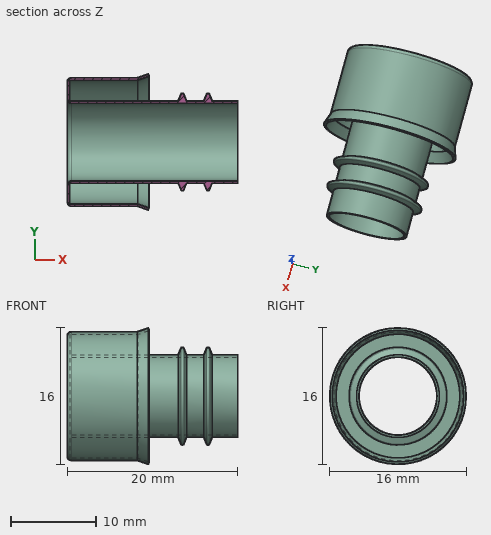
import cadquery as cq
import math

length = 20.0
wall = 0.3
bend_radius = 0.5

tube_radius = 9.7 / 2
bore_radius = tube_radius - wall

sleeve_radius = 15.1 / 2
sleeve_bore_radius = sleeve_radius - wall
lip_radius = 16.0 / 2
lip_start = 8.2
lip_angle = math.radians(19)

barb_centers = (13.5, 16.5)
barb_width = 1.0
barb_crest_radius = 0.2
barb_flank_angle = math.radians(22.5)


def revolve_about_x(profile):
    return profile.close().revolve(360, (0, 0, 0), (1, 0, 0))


def bend_middle(center_x, center_r, r_direction):
    """Middle point of a quarter bend that faces the front."""
    offset = bend_radius * math.sqrt(0.5)
    return (center_x - offset, center_r + r_direction * offset)


def make_shell():
    """Tube, front wall and flared sleeve as one bent sheet."""
    lip_tip_x = lip_start + (lip_radius - sleeve_radius) / math.tan(lip_angle)
    rim_inner_x = lip_tip_x + wall * math.sin(lip_angle)
    rim_inner_radius = lip_radius - wall * math.cos(lip_angle)
    inner_lip_start = lip_start + wall * math.tan(lip_angle / 2)
    mouth_radius = bore_radius + bend_radius
    face_radius = sleeve_radius - bend_radius
    profile = (
        cq.Workplane("XY")
        .moveTo(length, bore_radius)
        .lineTo(bend_radius, bore_radius)
        .threePointArc(bend_middle(bend_radius, mouth_radius, -1), (0, mouth_radius))
        .lineTo(0, face_radius)
        .threePointArc(bend_middle(bend_radius, face_radius, 1), (bend_radius, sleeve_radius))
        .lineTo(lip_start, sleeve_radius)
        .lineTo(lip_tip_x, lip_radius)
        .lineTo(rim_inner_x, rim_inner_radius)
        .lineTo(inner_lip_start, sleeve_bore_radius)
        .lineTo(wall, sleeve_bore_radius)
        .lineTo(wall, tube_radius)
        .lineTo(length, tube_radius)
    )
    return revolve_about_x(profile)


def make_barb(center_x):
    """Ring with sloped flanks, tangent to a round crest."""
    half_width = barb_width / 2
    root_radius = tube_radius - wall / 2
    tangent_x = barb_crest_radius * math.cos(barb_flank_angle)
    tangent_radius = tube_radius + (half_width - tangent_x) / math.tan(barb_flank_angle)
    crest_top = tangent_radius + barb_crest_radius * (1 - math.sin(barb_flank_angle))
    profile = (
        cq.Workplane("XY")
        .moveTo(center_x - half_width, root_radius)
        .lineTo(center_x - half_width, tube_radius)
        .lineTo(center_x - tangent_x, tangent_radius)
        .threePointArc((center_x, crest_top), (center_x + tangent_x, tangent_radius))
        .lineTo(center_x + half_width, tube_radius)
        .lineTo(center_x + half_width, root_radius)
    )
    return revolve_about_x(profile)


result = make_shell()
for barb_center in barb_centers:
    result = result.union(make_barb(barb_center))